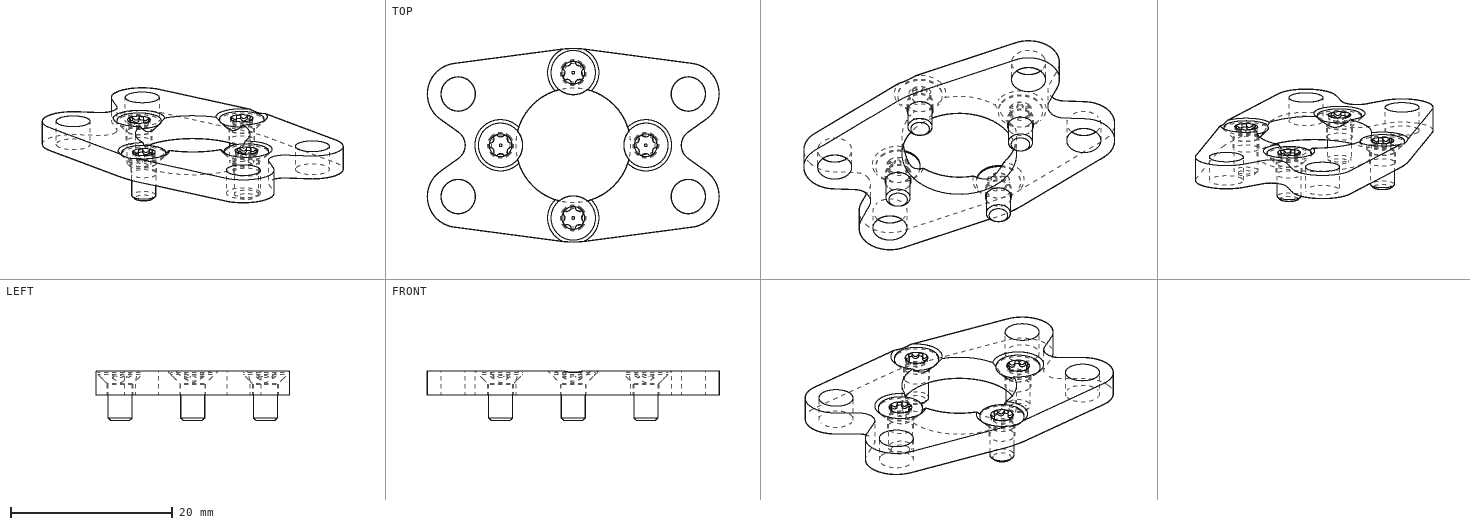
import cadquery as cq
import math

plate_thickness = 3.0
hub_radius = 12.0
bore_diameter = 14.2
corner_x = 14.25
corner_y = 6.35
corner_radius = 3.835
mounting_hole_diameter = 4.22
waist_x = 13.4
notch_radius = 2.0
notch_x = waist_x + notch_radius

screw_count = 4
screw_circle_radius = 9.0
clearance_diameter = 3.2
countersink_diameter = 6.36
countersink_angle = 90.0

screw_length = 6.0
screw_sink = 0.18
shank_diameter = 3.0
head_diameter = 5.5
head_edge_round = 0.1
tip_chamfer = 0.35

lobe_count = 6
lead_in_radius = 1.41
lobe_radius = 1.36
rib_inner_radius = 1.025
rib_radius = 0.5
recess_wall_depth = 0.45
recess_cone_depth = 0.8
recess_floor_radius = 0.165
lead_in_depth = lead_in_radius - rib_inner_radius

head_top = plate_thickness - screw_sink
countersink_slope = math.tan(math.radians(countersink_angle / 2))


def polar(center, radius, angle):
    """Point at a radius and an angle (radians) from a centre."""
    return (center[0] + radius * math.cos(angle), center[1] + radius * math.sin(angle))


def mirrored(point, x_sign, y_sign):
    return (x_sign * point[0], y_sign * point[1])


def plate_outline():
    """Hub arcs, corner lobes and end notches joined by tangent lines."""
    corner = (corner_x, corner_y)
    notch = (notch_x, 0)

    hub_to_corner = math.hypot(corner_x, corner_y)
    hub_angle = math.atan2(corner_y, corner_x) + math.acos((hub_radius - corner_radius) / hub_to_corner)
    hub_tangent = polar((0, 0), hub_radius, hub_angle)
    corner_top = polar(corner, corner_radius, hub_angle)

    notch_to_corner = math.hypot(corner_x - notch_x, corner_y)
    notch_angle = math.atan2(corner_y, corner_x - notch_x)
    notch_angle += math.acos((notch_radius + corner_radius) / notch_to_corner)
    notch_tangent = polar(notch, notch_radius, notch_angle)
    corner_bottom = polar(corner, corner_radius, notch_angle + math.pi)
    corner_middle = (corner_x + corner_radius, corner_y)

    return (
        cq.Workplane("XY")
        .moveTo(*mirrored(hub_tangent, -1, 1))
        .threePointArc((0, hub_radius), hub_tangent)
        .lineTo(*corner_top)
        .threePointArc(corner_middle, corner_bottom)
        .lineTo(*notch_tangent)
        .threePointArc((waist_x, 0), mirrored(notch_tangent, 1, -1))
        .lineTo(*mirrored(corner_bottom, 1, -1))
        .threePointArc(mirrored(corner_middle, 1, -1), mirrored(corner_top, 1, -1))
        .lineTo(*mirrored(hub_tangent, 1, -1))
        .threePointArc((0, -hub_radius), mirrored(hub_tangent, -1, -1))
        .lineTo(*mirrored(corner_top, -1, -1))
        .threePointArc(mirrored(corner_middle, -1, -1), mirrored(corner_bottom, -1, -1))
        .lineTo(*mirrored(notch_tangent, -1, -1))
        .threePointArc((-waist_x, 0), mirrored(notch_tangent, -1, 1))
        .lineTo(*mirrored(corner_bottom, -1, 1))
        .threePointArc(mirrored(corner_middle, -1, 1), mirrored(corner_top, -1, 1))
        .close()
    )


def make_plate():
    """Flange plate with bore, mounting holes and countersunk screw holes."""
    body = plate_outline().extrude(plate_thickness)
    body = body.faces(">Z").workplane(origin=(0, 0, plate_thickness)).hole(bore_diameter)
    body = (
        body.faces(">Z")
        .workplane(origin=(0, 0, plate_thickness))
        .rect(2 * corner_x, 2 * corner_y, forConstruction=True)
        .vertices()
        .hole(mounting_hole_diameter)
    )
    body = (
        body.faces(">Z")
        .workplane(origin=(0, 0, plate_thickness))
        .polarArray(screw_circle_radius, 0, 360, screw_count)
        .cskHole(clearance_diameter, countersink_diameter, countersink_angle)
    )
    return body


def make_drive_recess():
    """Six-lobe socket with a conical lead-in and a conical bottom."""
    wall_bottom = head_top - recess_wall_depth
    socket = (
        cq.Workplane("XZ")
        .moveTo(0, head_top)
        .lineTo(lobe_radius, head_top)
        .lineTo(lobe_radius, wall_bottom)
        .lineTo(recess_floor_radius, wall_bottom - recess_cone_depth)
        .lineTo(0, wall_bottom - recess_cone_depth)
        .close()
        .revolve(360, (0, 0), (0, 1))
    )
    ribs = (
        cq.Workplane("XY")
        .workplane(offset=head_top)
        .polarArray(rib_inner_radius + rib_radius, 90, 360, lobe_count)
        .circle(rib_radius)
        .extrude(-recess_wall_depth - recess_cone_depth)
    )
    lead_in = (
        cq.Workplane("XZ")
        .moveTo(0, head_top)
        .lineTo(lead_in_radius, head_top)
        .lineTo(rib_inner_radius, head_top - lead_in_depth)
        .lineTo(0, head_top - lead_in_depth)
        .close()
        .revolve(360, (0, 0), (0, 1))
    )
    return socket.cut(ribs).union(lead_in)


def make_screw():
    """Countersunk screw on the Z axis, its cone resting on the plate's countersink."""
    head_radius = head_diameter / 2
    shank_radius = shank_diameter / 2
    cone_top = plate_thickness - (countersink_diameter / 2 - head_radius) / countersink_slope
    cone_bottom = cone_top - (head_radius - shank_radius) / countersink_slope
    tip = head_top - screw_length
    body = (
        cq.Workplane("XZ")
        .moveTo(0, head_top)
        .lineTo(head_radius, head_top)
        .lineTo(head_radius, cone_top)
        .lineTo(shank_radius, cone_bottom)
        .lineTo(shank_radius, tip + tip_chamfer)
        .lineTo(shank_radius - tip_chamfer, tip)
        .lineTo(0, tip)
        .close()
        .revolve(360, (0, 0), (0, 1))
    )
    body = body.faces(">Z").edges().fillet(head_edge_round)
    return body.cut(make_drive_recess())


plate = make_plate()

screw = make_screw().translate((screw_circle_radius, 0, 0))
screws = []
for index in range(screw_count):
    turned = screw.rotate((0, 0, 0), (0, 0, 1), index * 360 / screw_count)
    screws.append(turned.val())

result = cq.Compound.makeCompound([plate.val(), *screws])